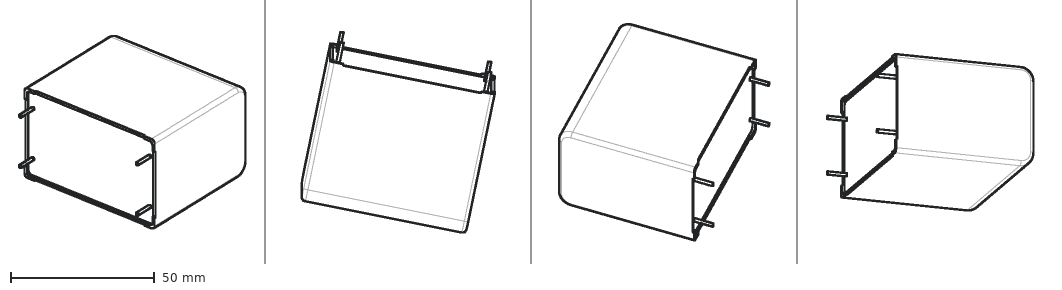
import cadquery as cq

case_width = 58.5
case_height = 36.0
total_length = 57.0
pin_length = 5.95
case_length = total_length - pin_length
back_radius = 5.0
edge_radius = 1.45

wall = 1.1
recess_depth = 1.0
recess_corner_radius = 1.15

notch_depth = 0.5
notch_inset = 4.5
notch_slope_run = 0.5

pin_diameter = 1.2
pin_pitch_x = 52.5
pin_pitch_z = 20.25

rim_y = -total_length / 2 + pin_length
back_y = rim_y + case_length
recess_floor_y = rim_y + recess_depth


def make_case():
    """Box with large rounds at the back and smaller rounds around both X faces."""
    box = cq.Workplane("XY").box(case_width, case_length, case_height)
    box = box.translate((0, (rim_y + back_y) / 2, 0))
    box = box.edges("|X and >Y").fillet(back_radius)
    return box.faces("<X or >X").edges("not <Y").fillet(edge_radius)


def make_recess():
    """Rounded pocket that leaves the rim standing above the potted face."""
    return (
        cq.Workplane("XZ", origin=(0, recess_floor_y, 0))
        .rect(case_width - 2 * wall, case_height - 2 * wall)
        .extrude(recess_depth)
        .edges("|Y")
        .fillet(recess_corner_radius)
    )


def make_notch(plane, side_length, cut_length):
    """Trapezoid across the rim, lying in a plane whose local y axis is +Y."""
    half_mouth = side_length / 2 - notch_inset
    half_floor = half_mouth - notch_slope_run
    floor_y = rim_y + notch_depth
    return (
        cq.Workplane(plane)
        .polyline(
            [
                (-half_mouth, rim_y),
                (half_mouth, rim_y),
                (half_floor, floor_y),
                (-half_floor, floor_y),
            ]
        )
        .close()
        .extrude(cut_length / 2, both=True)
    )


def make_pins():
    """Four round pins standing on the recessed face."""
    return (
        cq.Workplane("XZ", origin=(0, recess_floor_y, 0))
        .rarray(pin_pitch_x, pin_pitch_z, 2, 2)
        .circle(pin_diameter / 2)
        .extrude(recess_depth + pin_length)
    )


across_x = cq.Plane(origin=(0, 0, 0), xDir=(0, 0, -1), normal=(1, 0, 0))
result = (
    make_case()
    .cut(make_recess())
    .cut(make_notch("XY", case_width, case_height))
    .cut(make_notch(across_x, case_height, case_width))
    .union(make_pins())
)